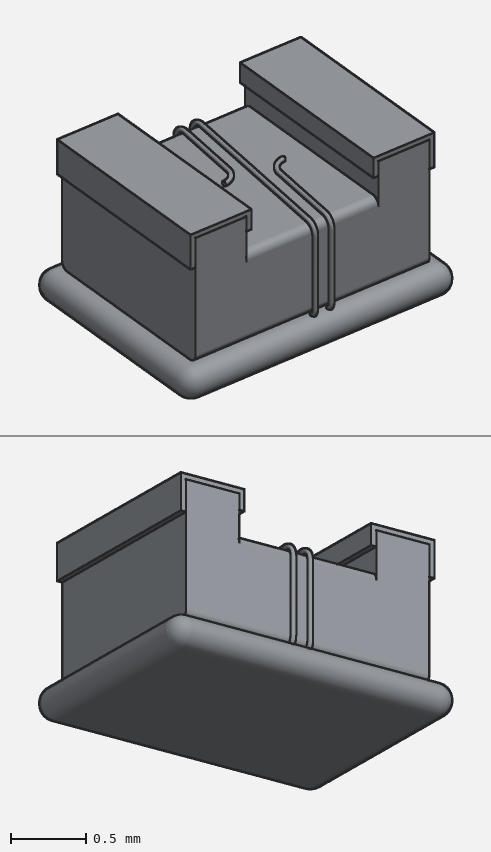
import cadquery as cq
import math

total_height = 1.28
base_length = 2.28
base_thickness = 0.242
core_width = 1.46
core_length = 1.96
core_edge_radius = 0.06
saddle_height = 0.942
leg_length = 0.429
terminal_thickness = 0.04
outer_lip_height = 0.275
inner_lip_height = 0.16
wire_radius = 0.0195
wire_offset = 0.03
turn_pitch = 0.137
hook_start_x = 0.119
hook_tip_rise = 0.25

base_width = core_width + base_thickness
base_edge_radius = base_thickness / 2
core_top = total_height - terminal_thickness
leg_inner_y = core_length / 2 - leg_length
bend_radius = core_edge_radius + wire_offset
bend_x = core_width / 2 - core_edge_radius
wire_side_x = core_width / 2 + wire_offset
wire_top_z = saddle_height + wire_offset
wire_bottom_z = base_thickness - wire_offset
upper_bend_z = saddle_height - core_edge_radius
lower_bend_z = base_thickness + core_edge_radius
winding_middle_y = turn_pitch / 2


def box_between(y_min, y_max, z_min, z_max):
    """Full-core-width block spanning the given Y and Z ranges."""
    return cq.Workplane("XY").box(
        core_width, y_max - y_min, z_max - z_min, centered=(True, False, False)
    ).translate((0, y_min, z_min))


def make_base():
    """Pad with fully rounded sides and ball corners."""
    flat_width = base_width - base_thickness
    flat_length = base_length - base_thickness
    base = cq.Workplane("XY").box(
        flat_width, flat_length, base_thickness, centered=(True, True, False)
    )
    side_bars = (
        cq.Workplane("XZ", origin=(0, flat_length / 2, base_edge_radius))
        .pushPoints([(-flat_width / 2, 0), (flat_width / 2, 0)])
        .circle(base_edge_radius).extrude(flat_length)
    )
    end_bars = (
        cq.Workplane("YZ", origin=(-flat_width / 2, 0, base_edge_radius))
        .pushPoints([(-flat_length / 2, 0), (flat_length / 2, 0)])
        .circle(base_edge_radius).extrude(flat_width)
    )
    corner_balls = (
        cq.Workplane("XY", origin=(0, 0, base_edge_radius))
        .rect(flat_width, flat_length, forConstruction=True)
        .vertices().sphere(base_edge_radius)
    )
    return base.union(side_bars).union(end_bars).union(corner_balls)


def make_core():
    """Saddle-shaped core with rounded bottom and saddle edges."""
    half_length = core_length / 2
    lower_block = box_between(-half_length, half_length, base_thickness, saddle_height)
    lower_block = lower_block.edges("|Y and <Z").fillet(core_edge_radius)
    saddle = lower_block.edges("|Y and >Z").fillet(core_edge_radius)
    for y_min in (-half_length, leg_inner_y):
        saddle = saddle.union(box_between(y_min, y_min + leg_length, upper_bend_z, core_top))
    return saddle


def make_terminal(end):
    """Folded cap over one leg; end is -1 or +1 along Y."""
    outer_y = core_length / 2 + terminal_thickness
    inner_y = leg_inner_y - terminal_thickness
    outline = [
        (outer_y, total_height),
        (outer_y, total_height - outer_lip_height),
        (core_length / 2, total_height - outer_lip_height),
        (core_length / 2, core_top),
        (leg_inner_y, core_top),
        (leg_inner_y, total_height - inner_lip_height),
        (inner_y, total_height - inner_lip_height),
        (inner_y, total_height),
    ]
    points = [(end * y, z) for y, z in outline]
    return (
        cq.Workplane("YZ").polyline(points).close()
        .extrude(core_width / 2, both=True)
    )


def bend(side, y, center_z, start_angle, end_angle):
    """Quarter bend around a core edge; angles rise from the outward X axis."""
    def point(angle):
        turn = math.radians(angle)
        return cq.Vector(
            side * (bend_x + bend_radius * math.cos(turn)),
            y,
            center_z + bend_radius * math.sin(turn),
        )

    middle_angle = (start_angle + end_angle) / 2
    return cq.Edge.makeThreePointArc(point(start_angle), point(middle_angle), point(end_angle))


def half_turn_below(y):
    """Path from the right saddle edge down, under the core and up the left side."""
    return [
        bend(1, y, upper_bend_z, 90, 0),
        cq.Edge.makeLine(
            cq.Vector(wire_side_x, y, upper_bend_z), cq.Vector(wire_side_x, y, lower_bend_z)
        ),
        bend(1, y, lower_bend_z, 0, -90),
        cq.Edge.makeLine(cq.Vector(bend_x, y, wire_bottom_z), cq.Vector(-bend_x, y, wire_bottom_z)),
        bend(-1, y, lower_bend_z, -90, 0),
        cq.Edge.makeLine(
            cq.Vector(-wire_side_x, y, lower_bend_z), cq.Vector(-wire_side_x, y, upper_bend_z)
        ),
        bend(-1, y, upper_bend_z, 0, 90),
    ]


def sweep_wire(edges):
    """Round wire along a smooth run of edges."""
    path = cq.Wire.assembleEdges(edges)
    start_plane = cq.Plane(origin=path.startPoint(), normal=path.tangentAt(0))
    return cq.Workplane(start_plane).circle(wire_radius).sweep(cq.Workplane(path))


def make_wire():
    """Two-turn winding: hooked lead, turn, crossing, turn, hooked lead."""
    slope = turn_pitch / (2 * bend_x)
    hook_start_rise = winding_middle_y + slope * (bend_x - hook_start_x)
    first_lead = cq.Vector(hook_start_x, winding_middle_y + hook_start_rise, wire_top_z)
    first_tip = cq.Vector(0, winding_middle_y + hook_tip_rise, wire_top_z)
    last_lead = cq.Vector(-hook_start_x, winding_middle_y - hook_start_rise, wire_top_z)
    last_tip = cq.Vector(0, winding_middle_y - hook_tip_rise, wire_top_z)
    lead_direction = cq.Vector(1, -slope, 0)
    first_corner = cq.Vector(bend_x, turn_pitch, wire_top_z)
    crossing_start = cq.Vector(-bend_x, turn_pitch, wire_top_z)
    crossing_end = cq.Vector(bend_x, 0, wire_top_z)
    last_corner = cq.Vector(-bend_x, 0, wire_top_z)

    first_arc = cq.Edge.makeTangentArc(first_lead, lead_direction * -1, first_tip)
    first_hook = cq.Edge.makeThreePointArc(first_tip, first_arc.positionAt(0.5), first_lead)
    last_hook = cq.Edge.makeTangentArc(last_lead, lead_direction, last_tip)
    first_side = cq.Edge.makeLine(first_lead, first_corner)
    crossing = cq.Edge.makeLine(crossing_start, crossing_end)
    last_side = cq.Edge.makeLine(last_corner, last_lead)

    wire = sweep_wire([first_hook, first_side])
    sections = [
        sweep_wire(half_turn_below(turn_pitch)),
        sweep_wire([crossing]),
        sweep_wire(half_turn_below(0)),
        sweep_wire([last_side, last_hook]),
    ]
    corners = (first_corner, crossing_start, crossing_end, last_corner)
    for section, corner in zip(sections, corners):
        joint = cq.Workplane("XY").sphere(wire_radius).translate(corner)
        wire = wire.union(joint).union(section)
    return wire


winding = make_wire()
base = make_base().cut(winding)
core = make_core()
terminals = [make_terminal(end) for end in (-1, 1)]

bodies = [base, core, winding, *terminals]
result = cq.Compound.makeCompound([body.solids().val() for body in bodies])